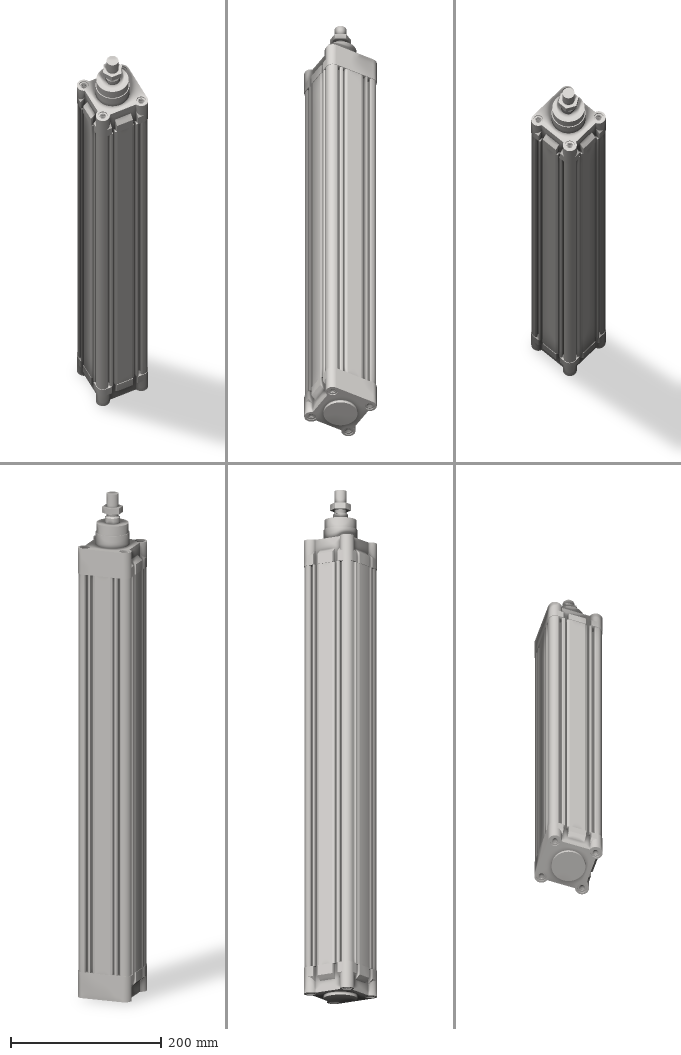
import cadquery as cq
import math

TOTAL_HEIGHT = 694.0

CAP_WIDTH = 75.5
CAP_HEIGHT = 35.5
RECESS_DEPTH = 6.45
PAD_WIDTH = 23.5
RIDGE_HEIGHT = 14.0
BLOCK_INNER = 19.5
CORNER_OFFSET = 28.5

COUNTERBORE_DIAMETER = 13.0
COUNTERBORE_DEPTH = 1.5
CLEARANCE_DIAMETER = 8.0
CLEARANCE_DEPTH = 3.0
CORE_DIAMETER = 6.65
CORE_DEPTH = 4.0
DRILL_POINT_ANGLE = 118.0

COLLAR_DIAMETER = 45.0
REAR_COLLAR_HEIGHT = 4.0
FRONT_COLLAR_HEIGHT = 17.0
RING_DIAMETER = 43.0
RING_HEIGHT = 13.0

TUBE_WIDTH = 74.0
RIB_FLAT = 21.5
RIB_WIDTH = 28.0
RIB_CHAMFER = 1.5
GAP_WIDTH = 3.5
GAP_DEPTH = 5.5
SLOT_OFFSET = 23.0
SLOT_MOUTH = 6.0
SLOT_THROAT = 3.5
SLOT_LIP = 1.5
SLOT_DIAMETER = 6.65
SLOT_CENTRE_DEPTH = 5.5

ROD_DIAMETER = 20.0
ROD_CHAMFER = 2.0
THREAD_DIAMETER = 16.0
THREAD_LENGTH = 30.5
FLATS_WIDTH = 17.5
FLATS_HEIGHT = 7.5
NUT_ACROSS_FLATS = 24.0
NUT_HEIGHT = 8.0
NUT_TOP_GAP = 18.0
HEXAGON_HALF_ANGLE = 30.0

CAP_HALF = CAP_WIDTH / 2
CORE_HALF = CAP_HALF - RECESS_DEPTH
CORNER_RADIUS = CAP_HALF - CORNER_OFFSET
TUBE_HALF = TUBE_WIDTH / 2
FLAT_CUT = ROD_DIAMETER - FLATS_WIDTH
SHOULDER_Z = TOTAL_HEIGHT - THREAD_LENGTH
COLLAR_TOP_Z = SHOULDER_Z - ROD_CHAMFER - FLATS_HEIGHT
FRONT_CAP_TOP_Z = COLLAR_TOP_Z - RING_HEIGHT - FRONT_COLLAR_HEIGHT
TUBE_TOP_Z = FRONT_CAP_TOP_Z - CAP_HEIGHT
TUBE_BOTTOM_Z = REAR_COLLAR_HEIGHT + CAP_HEIGHT
ROD_BOTTOM_Z = TUBE_TOP_Z
CORNERS = [(x, y) for x in (-CORNER_OFFSET, CORNER_OFFSET) for y in (-CORNER_OFFSET, CORNER_OFFSET)]

FRONT_SIDE = 0
SIDE_ANGLES = (FRONT_SIDE, 90, 180, 270)
RECESSED_SIDES = (FRONT_SIDE, 90, 270)


def cylinder(diameter, bottom, height):
    return cq.Workplane("XY").workplane(offset=bottom).circle(diameter / 2).extrude(height)


def turned(shape, angle):
    return shape.rotate((0, 0, 0), (0, 0, 1), angle)


def ridge(x_start, x_end):
    """Raised block on the -Y side whose far end slopes back to the recessed wall at 45 degrees."""
    side_profile = [
        (-CAP_HALF, 0),
        (-CAP_HALF, RIDGE_HEIGHT),
        (-CORE_HALF, RIDGE_HEIGHT + RECESS_DEPTH),
        (0, RIDGE_HEIGHT + RECESS_DEPTH),
        (0, 0),
    ]
    plane = cq.Workplane("YZ").workplane(offset=x_start)
    return plane.polyline(side_profile).close().extrude(x_end - x_start)


def screw_hole():
    """Stepped blind hole with a drill point, opening upward at z = 0."""
    core_radius = CORE_DIAMETER / 2
    point_depth = core_radius / math.tan(math.radians(DRILL_POINT_ANGLE / 2))
    half_section = [
        (0, 0),
        (COUNTERBORE_DIAMETER / 2, 0),
        (COUNTERBORE_DIAMETER / 2, -COUNTERBORE_DEPTH),
        (CLEARANCE_DIAMETER / 2, -COUNTERBORE_DEPTH),
        (CLEARANCE_DIAMETER / 2, -CLEARANCE_DEPTH),
        (core_radius, -CLEARANCE_DEPTH),
        (core_radius, -CORE_DEPTH),
        (0, -CORE_DEPTH - point_depth),
    ]
    return cq.Workplane("XZ").polyline(half_section).close().revolve(360, (0, 0, 0), (0, 1, 0))


def make_cap():
    cap = cq.Workplane("XY").rect(2 * CORE_HALF, 2 * CORE_HALF).extrude(CAP_HEIGHT)
    cap = cap.union(cq.Workplane("XY").pushPoints(CORNERS).circle(CORNER_RADIUS).extrude(CAP_HEIGHT))
    full_wall = cq.Workplane("XY").rect(2 * CORNER_OFFSET, CAP_HALF).extrude(CAP_HEIGHT)
    cap = cap.union(full_wall.translate((0, CAP_HALF / 2, 0)))
    for angle in RECESSED_SIDES:
        cap = cap.union(turned(ridge(-PAD_WIDTH / 2, PAD_WIDTH / 2), angle))
        cap = cap.union(turned(ridge(-CORNER_OFFSET, -BLOCK_INNER), angle))
        cap = cap.union(turned(ridge(BLOCK_INNER, CORNER_OFFSET), angle))
    for x, y in CORNERS:
        cap = cap.cut(screw_hole().translate((x, y, CAP_HEIGHT)))
    return cap


def sensor_slot(length):
    """Slot with bevelled lips, a narrow throat and a round bottom, centred on x = 0 of the -Y side."""
    radius = SLOT_DIAMETER / 2
    centre_y = -TUBE_HALF + SLOT_CENTRE_DEPTH
    throat = SLOT_THROAT / 2
    throat_end_y = centre_y - math.sqrt(radius**2 - throat**2)
    return (
        cq.Workplane("XY")
        .moveTo(-SLOT_MOUTH / 2, -TUBE_HALF)
        .lineTo(SLOT_MOUTH / 2, -TUBE_HALF)
        .lineTo(throat, -TUBE_HALF + SLOT_LIP)
        .lineTo(throat, throat_end_y)
        .threePointArc((radius, centre_y), (0, centre_y + radius))
        .threePointArc((-radius, centre_y), (-throat, throat_end_y))
        .lineTo(-throat, -TUBE_HALF + SLOT_LIP)
        .close()
        .extrude(length)
    )


def rib_groove(length):
    """Narrow groove on the +X side of the rib, together with the bevel on the rib's edge."""
    section = [
        (RIB_FLAT / 2, -TUBE_HALF),
        (RIB_WIDTH / 2, -TUBE_HALF + RIB_CHAMFER),
        (RIB_WIDTH / 2, -TUBE_HALF + GAP_DEPTH),
        (RIB_WIDTH / 2 + GAP_WIDTH, -TUBE_HALF + GAP_DEPTH),
        (RIB_WIDTH / 2 + GAP_WIDTH, -TUBE_HALF),
    ]
    return cq.Workplane("XY").polyline(section).close().extrude(length)


def make_tube():
    length = TUBE_TOP_Z - TUBE_BOTTOM_Z
    tube = cq.Workplane("XY").rect(TUBE_WIDTH, TUBE_WIDTH).extrude(length)
    tube = tube.edges("|Z").fillet(TUBE_HALF - CORNER_OFFSET)
    for angle in SIDE_ANGLES:
        groove = rib_groove(length)
        tube = tube.cut(turned(groove, angle))
        tube = tube.cut(turned(groove.mirror("YZ"), angle))
        for x in (-SLOT_OFFSET, SLOT_OFFSET):
            tube = tube.cut(turned(sensor_slot(length).translate((x, 0, 0)), angle))
    return tube.translate((0, 0, TUBE_BOTTOM_Z))


def make_housing():
    """Tube, both end caps and both collars, with a blind guide bore for the rod."""
    cap = make_cap()
    front_cap = cap.translate((0, 0, TUBE_TOP_Z))
    rear_cap = cap.mirror("XY").translate((0, 0, TUBE_BOTTOM_Z))
    housing = make_tube().union(front_cap).union(rear_cap)
    housing = housing.union(cylinder(COLLAR_DIAMETER, 0, REAR_COLLAR_HEIGHT))
    housing = housing.union(cylinder(COLLAR_DIAMETER, FRONT_CAP_TOP_Z, FRONT_COLLAR_HEIGHT))
    housing = housing.union(cylinder(RING_DIAMETER, COLLAR_TOP_Z - RING_HEIGHT, RING_HEIGHT))
    return housing.cut(cylinder(ROD_DIAMETER, ROD_BOTTOM_Z, COLLAR_TOP_Z - ROD_BOTTOM_Z))


def make_rod():
    """Piston rod with two wrench flats facing -Y and +Y, and a thinner threaded end."""
    rod = cylinder(ROD_DIAMETER, ROD_BOTTOM_Z, SHOULDER_Z - ROD_BOTTOM_Z)
    rod = rod.faces(">Z").chamfer(ROD_CHAMFER)
    flats_plane = cq.Workplane("XY").workplane(offset=COLLAR_TOP_Z)
    for side in (-1, 1):
        waste = flats_plane.rect(ROD_DIAMETER, FLAT_CUT).extrude(FLATS_HEIGHT)
        rod = rod.cut(waste.translate((0, side * (FLATS_WIDTH + FLAT_CUT) / 2, 0)))
    return rod.union(cylinder(THREAD_DIAMETER, SHOULDER_Z, THREAD_LENGTH))


def make_nut():
    """Hexagon lock nut on the thread, with two corners on the Y axis."""
    bottom = TOTAL_HEIGHT - NUT_TOP_GAP - NUT_HEIGHT
    across_corners = NUT_ACROSS_FLATS / math.cos(math.radians(HEXAGON_HALF_ANGLE))
    nut = cq.Workplane("XY").workplane(offset=bottom).polygon(6, across_corners).extrude(NUT_HEIGHT)
    return turned(nut, 90).cut(cylinder(THREAD_DIAMETER, bottom, NUT_HEIGHT))


housing = make_housing()
rod = make_rod()
nut = make_nut()
result = cq.Compound.makeCompound([housing.val(), rod.val(), nut.val()])